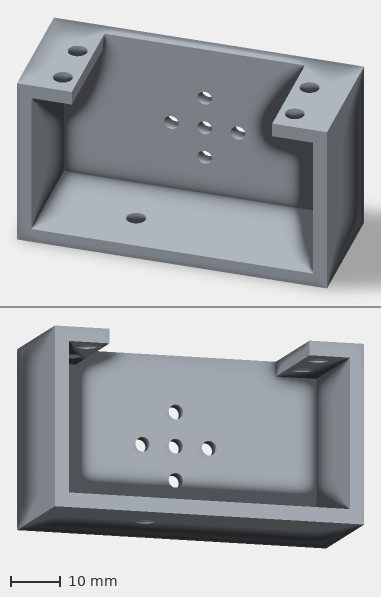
import cadquery as cq

LENGTH = 65.0
DEPTH = 26.0
HEIGHT = 37.0
WALL = 3.0

TAB_REACH = 8.5
TAB_HOLE_DIAMETER = 4.0
TAB_HOLE_FROM_SIDE = 8.2
TAB_HOLE_FROM_FRONT = 4.8
TAB_HOLE_SPACING = 10.4

CROSS_HOLE_DIAMETER = 3.0
CROSS_ARM = 7.0

FLOOR_HOLE_DIAMETER = 4.0
FLOOR_HOLE_FROM_SIDE = 22.0
FLOOR_HOLE_FROM_FRONT = 10.0

LEFT = -LENGTH / 2
FRONT = -DEPTH / 2


def plate(x_min, y_min, z_min, x_size, y_size, z_size):
    """Rectangular plate placed by its lowest corner."""
    return cq.Workplane("XY").box(x_size, y_size, z_size, centered=False).translate((x_min, y_min, z_min))


def shell():
    """Floor, back wall and two side walls, open at the front and top."""
    block = plate(LEFT, FRONT, 0, LENGTH, DEPTH, HEIGHT)
    cavity = plate(LEFT + WALL, FRONT, WALL, LENGTH - 2 * WALL, DEPTH - WALL, HEIGHT - WALL)
    return block.cut(cavity)


def tabs():
    """Pair of tabs reaching inward from the tops of the side walls."""
    width = WALL + TAB_REACH
    left_tab = plate(LEFT, FRONT, HEIGHT - WALL, width, DEPTH, WALL)
    return left_tab.union(left_tab.mirror("YZ"))


def tab_holes():
    """Two through holes in each tab."""
    x = LENGTH / 2 - TAB_HOLE_FROM_SIDE
    y_front = FRONT + TAB_HOLE_FROM_FRONT
    points = [(side * x, y) for side in (-1, 1) for y in (y_front, y_front + TAB_HOLE_SPACING)]
    base = cq.Workplane("XY").workplane(offset=HEIGHT - WALL)
    return base.pushPoints(points).circle(TAB_HOLE_DIAMETER / 2).extrude(WALL)


def cross_holes():
    """Five through holes in the back wall: one central and four around it."""
    points = [(0, 0), (CROSS_ARM, 0), (-CROSS_ARM, 0), (0, CROSS_ARM), (0, -CROSS_ARM)]
    outer_face = cq.Workplane("XZ", origin=(0, DEPTH / 2, HEIGHT / 2))
    return outer_face.pushPoints(points).circle(CROSS_HOLE_DIAMETER / 2).extrude(WALL)


def floor_hole():
    """Through hole in the floor."""
    center = (LEFT + FLOOR_HOLE_FROM_SIDE, FRONT + FLOOR_HOLE_FROM_FRONT)
    return cq.Workplane("XY").center(*center).circle(FLOOR_HOLE_DIAMETER / 2).extrude(WALL)


result = shell().union(tabs()).cut(tab_holes()).cut(cross_holes()).cut(floor_hole())